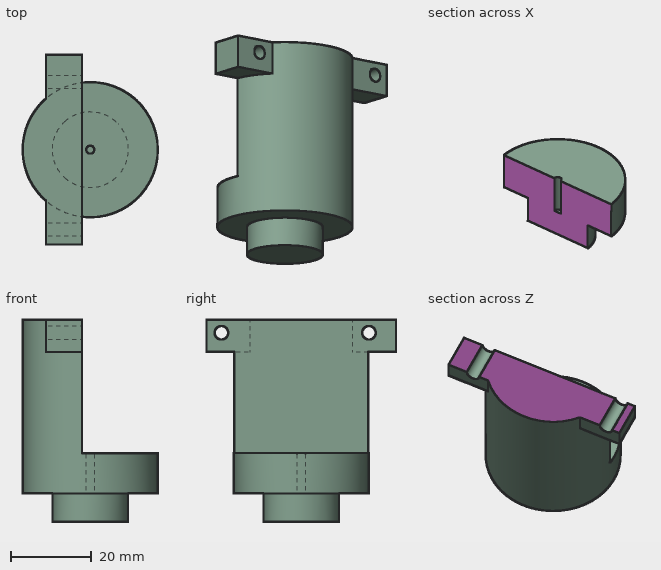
import cadquery as cq

total_height = 50.0
body_diameter = 33.5
spigot_diameter = 18.8
spigot_height = 7.0
disc_height = 10.0
centre_hole_diameter = 2.0

flat_x = -2.0

bar_length = 47.0
bar_width = 9.0
bar_height = 8.0
bar_hole_diameter = 3.3
bar_hole_spacing = 36.5
bar_hole_below_top = 3.25
bar_hole_offset = -1.5

disc_top = spigot_height + disc_height
upright_height = total_height - disc_top
bar_back_x = flat_x - bar_width


def cylinder(diameter, height, base_z):
    return cq.Workplane("XY").workplane(offset=base_z).circle(diameter / 2).extrude(height)


def make_base():
    spigot = cylinder(spigot_diameter, spigot_height, 0)
    disc = cylinder(body_diameter, disc_height, spigot_height)
    return spigot.union(disc)


def make_upright():
    column = cylinder(body_diameter, upright_height, disc_top)
    keep = (
        cq.Workplane("XY")
        .box(body_diameter, body_diameter, upright_height, centered=(False, True, False))
        .translate((flat_x - body_diameter, 0, disc_top))
    )
    return column.intersect(keep)


def make_crossbar():
    return (
        cq.Workplane("XY")
        .box(bar_width, bar_length, bar_height, centered=(False, True, False))
        .translate((bar_back_x, 0, total_height - bar_height))
    )


def make_bar_holes():
    hole_z = total_height - bar_hole_below_top
    half_spacing = bar_hole_spacing / 2
    return (
        cq.Workplane("YZ")
        .workplane(offset=bar_back_x)
        .pushPoints([(bar_hole_offset + side * half_spacing, hole_z) for side in (-1, 1)])
        .circle(bar_hole_diameter / 2)
        .extrude(bar_width)
    )


centre_hole = cylinder(centre_hole_diameter, disc_height, spigot_height)

result = (
    make_base()
    .union(make_upright())
    .union(make_crossbar())
    .cut(make_bar_holes())
    .cut(centre_hole)
)